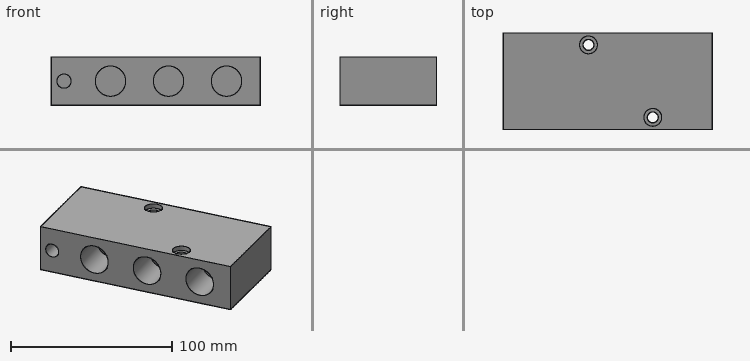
import cadquery as cq

length = 130.0
width = 60.0
height = 30.0

port_diameter = 18.8
port_depth = 24.0
port_count = 3
port_spacing = 36.0
first_port_x = 36.9
pilot_diameter = 8.8
pilot_depth = 24.0
pilot_x = 8.0

screw_diameter = 6.6
head_diameter = 11.0
head_depth = 3.0
screw_edge_distance = 7.5
rear_screw_x = 53.0
front_screw_x = 93.0


def front_bore(x, diameter, depth):
    """Flat-bottomed bore at mid-height, running from the front face toward +Y."""
    start = cq.Vector(x, 0, height / 2)
    return cq.Workplane(cq.Solid.makeCylinder(diameter / 2, depth, start, cq.Vector(0, 1, 0)))


block = cq.Workplane("XY").box(length, width, height, centered=False)

for index in range(port_count):
    port_x = first_port_x + index * port_spacing
    block = block.cut(front_bore(port_x, port_diameter, port_depth))
block = block.cut(front_bore(pilot_x, pilot_diameter, pilot_depth))

screw_positions = [
    (rear_screw_x, width - screw_edge_distance),
    (front_screw_x, screw_edge_distance),
]
result = (
    block.faces(">Z")
    .workplane(origin=(0, 0, height))
    .pushPoints(screw_positions)
    .cboreHole(screw_diameter, head_diameter, head_depth)
)